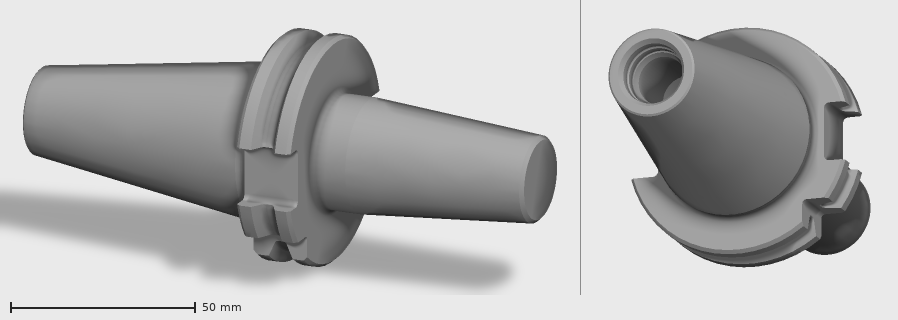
import cadquery as cq
import math

total_length = 148.2
gauge_x = 68.2
taper_end_x = 67.5
relief_start_x = 68.8
flange_x = 71.5
flange_width = 15.9
groove_x = 79.5
nose_cone_x = 97.4

gauge_radius = 22.2
relief_radius = 21.8
flange_diameter = 63.6
flange_radius = flange_diameter / 2
groove_radius = 28.2
nose_radius = 16.0

taper_ratio = 7 / 24
tail_chamfer = 0.5
relief_fillet = 1.2
rim_chamfer_length = 1.0
rim_chamfer_depth = 0.9
groove_mouth_half_width = 3.5
groove_half_angle = 30.0
groove_fillet = 1.0
nose_fillet = 1.6
nose_cone_angle = 4.5
nose_chamfer = 1.0

slot_half_width = 8.2
slot_fillet = 1.5
near_slot_floor_y = -24.9
far_slot_floor_y = 22.7
notch_y = -18.7
notch_z = -18.5
notch_fillet = 1.2

mouth_radius = 9.5
mouth_depth = 1.5
pilot_radius = 8.5
pilot_depth = 4.3
recess_radius = 8.0
recess_depth = 7.4
lead_in_radius = 7.5
lead_in_depth = 9.5
thread_radius = 6.8
bore_depth = 29.6
drill_half_angle = 59.0

flange_end_x = flange_x + flange_width


def taper_radius(x):
    return gauge_radius - (gauge_x - x) * taper_ratio / 2


def revolve_x(outline):
    return outline.close().revolve(360, (0, 0, 0), (1, 0, 0))


def shank_and_nose():
    """Tool taper, relief neck, plain flange disc and conical nose."""
    nose_slope = math.tan(math.radians(nose_cone_angle))
    chamfer_x = total_length - nose_chamfer
    chamfer_radius = nose_radius - (chamfer_x - nose_cone_x) * nose_slope
    corner = math.sqrt(0.5)
    relief_mid = (
        flange_x - relief_fillet * (1 - corner),
        relief_radius + relief_fillet * (1 - corner),
    )
    nose_mid = (
        flange_end_x + nose_fillet * (1 - corner),
        nose_radius + nose_fillet * (1 - corner),
    )
    outline = (
        cq.Workplane("XY")
        .moveTo(0, 0)
        .lineTo(0, taper_radius(0) - tail_chamfer)
        .lineTo(tail_chamfer, taper_radius(tail_chamfer))
        .lineTo(taper_end_x, taper_radius(taper_end_x))
        .lineTo(relief_start_x, relief_radius)
        .lineTo(flange_x - relief_fillet, relief_radius)
        .threePointArc(relief_mid, (flange_x, relief_radius + relief_fillet))
        .lineTo(flange_x, flange_radius - rim_chamfer_depth)
        .lineTo(flange_x + rim_chamfer_length, flange_radius)
        .lineTo(flange_end_x - rim_chamfer_length, flange_radius)
        .lineTo(flange_end_x, flange_radius - rim_chamfer_depth)
        .lineTo(flange_end_x, nose_radius + nose_fillet)
        .threePointArc(nose_mid, (flange_end_x + nose_fillet, nose_radius))
        .lineTo(nose_cone_x, nose_radius)
        .lineTo(chamfer_x, chamfer_radius)
        .lineTo(total_length, chamfer_radius - nose_chamfer)
        .lineTo(total_length, 0)
    )
    return revolve_x(outline)


def gripper_groove():
    """V groove around the flange rim, with a flat floor and rounded corners."""
    depth = flange_radius - groove_radius
    floor_half_width = groove_mouth_half_width - depth * math.tan(math.radians(groove_half_angle))
    ring = revolve_x(
        cq.Workplane("XY")
        .moveTo(groove_x - groove_mouth_half_width, flange_radius)
        .lineTo(groove_x - floor_half_width, groove_radius)
        .lineTo(groove_x + floor_half_width, groove_radius)
        .lineTo(groove_x + groove_mouth_half_width, flange_radius)
    )
    floor_radius_limit = groove_radius + depth / 2
    floor_edges = [
        edge for edge in ring.edges("%CIRCLE").vals() if edge.radius() < floor_radius_limit
    ]
    return ring.newObject(floor_edges).fillet(groove_fillet)


def flange_cutter(y_inner, y_outer, z_low, z_high):
    """Box that passes through the full flange width only."""
    return cq.Workplane("XY").box(
        flange_width, abs(y_outer - y_inner), z_high - z_low, centered=False
    ).translate((flange_x, min(y_inner, y_outer), z_low))


def drive_slot(floor_y):
    outer_y = math.copysign(flange_radius, floor_y)
    slot = flange_cutter(floor_y, outer_y, -slot_half_width, slot_half_width)
    floor_side = ">Y" if floor_y < 0 else "<Y"
    return slot.faces(floor_side).edges("|X").fillet(slot_fillet)


def orientation_notch():
    notch = flange_cutter(notch_y, -flange_radius, -flange_radius, notch_z)
    return notch.edges("|X and >Y and >Z").fillet(notch_fillet)


def tail_bore():
    """Stepped blind bore with a countersunk mouth and a drill-point end."""
    step = pilot_radius - recess_radius
    point_length = thread_radius / math.tan(math.radians(drill_half_angle))
    outline = (
        cq.Workplane("XY")
        .moveTo(0, 0)
        .lineTo(0, mouth_radius)
        .lineTo(mouth_depth, pilot_radius)
        .lineTo(pilot_depth, pilot_radius)
        .lineTo(pilot_depth + step, recess_radius)
        .lineTo(recess_depth, recess_radius)
        .lineTo(recess_depth, lead_in_radius)
        .lineTo(lead_in_depth, thread_radius)
        .lineTo(bore_depth, thread_radius)
        .lineTo(bore_depth + point_length, 0)
    )
    return revolve_x(outline)


result = shank_and_nose().cut(gripper_groove())
for slot_floor_y in (near_slot_floor_y, far_slot_floor_y):
    result = result.cut(drive_slot(slot_floor_y))
result = result.cut(orientation_notch()).cut(tail_bore())